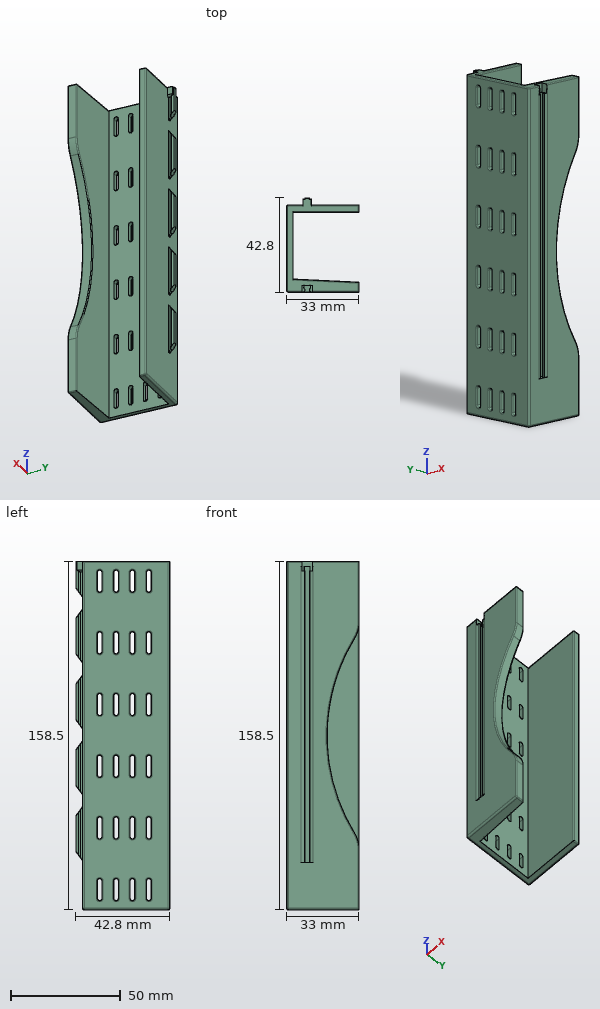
import cadquery as cq
import math

LENGTH = 158.5
WIDTH = 33.0
BODY_DEPTH = 39.8
TOTAL_DEPTH = 42.8
WEB_THICKNESS = 3.0
BACK_THICKNESS = 3.5
FRONT_ROOT_THICKNESS = 6.0
FRONT_TIP_THICKNESS = 4.6
CORNER_RADIUS = 1.0
TIP_RADIUS = 0.5
TOP_RADIUS = 0.5

SLOT_COLUMNS = 4
SLOT_ROWS = 6
SLOT_PITCH_Y = 7.5
SLOT_PITCH_Z = 28.0
SLOT_CENTER_Y = 20.8
SLOT_CENTER_Z = 79.4
SLOT_LENGTH = 10.0
SLOT_WIDTH = 2.0
SLOT_RIM_RADIUS = 0.5

CUTOUT_DEPTH = 14.5
CUTOUT_RADIUS = 84.6
CUTOUT_BLEND_RADIUS = 15.0
CUTOUT_CENTER_Z = LENGTH / 2

COUPLING_X = 9.3
RIB_HEIGHT = TOTAL_DEPTH - BODY_DEPTH
NECK_HALF_WIDTH = 0.6
NECK_HEIGHT = 0.8
HEAD_HALF_WIDTH = 1.3
HEAD_HEIGHT = 1.7
TIP_HALF_WIDTH = 1.0
CLEARANCE = 0.3
GROOVE_MOUTH_HALF_WIDTH = 2.7
GROOVE_LIP_HALF_WIDTH = 1.3
GROOVE_LIP_DEPTH = 0.3
GROOVE_END_Z = 21.7
GROOVE_TOP_Z = 156.0

BLOCK_HALF_WIDTH = 1.9
BLOCK_RISE = 2.5
BLOCK_HEIGHT = 4.8
SEAT_HALF_WIDTH = 2.4
SEAT_DEPTH = BLOCK_RISE + 2 * CLEARANCE
SEAT_HEIGHT = 4.3
BLOCK_CHAMFER = 1.0

SEGMENT_COUNT = 5
SEGMENT_PITCH = 30.0
FIRST_SEGMENT_END_Z = 142.3
GAP_AT_BASE = 5.5
GAP_SLOPE_RUN = 4.1


def make_channel():
    """Extruded C profile with a tapering front flange."""
    inner_back_y = BODY_DEPTH - BACK_THICKNESS
    profile = [
        (0, 0),
        (WIDTH, 0),
        (WIDTH, FRONT_TIP_THICKNESS),
        (WEB_THICKNESS, FRONT_ROOT_THICKNESS),
        (WEB_THICKNESS, inner_back_y),
        (WIDTH, inner_back_y),
        (WIDTH, BODY_DEPTH),
        (0, BODY_DEPTH),
    ]
    channel = cq.Workplane("XY").polyline(profile).close().extrude(LENGTH)
    channel = channel.edges("|Z and <X").fillet(CORNER_RADIUS)
    return channel.faces("<Z").edges("<X").fillet(CORNER_RADIUS)


def cut_slots(body):
    """Cut the slot grid through the web and round its outer rims."""
    grid = cq.Workplane("YZ", origin=(0, SLOT_CENTER_Y, SLOT_CENTER_Z)).rarray(
        SLOT_PITCH_Y, SLOT_PITCH_Z, SLOT_COLUMNS, SLOT_ROWS
    )
    slots = grid.slot2D(SLOT_LENGTH, SLOT_WIDTH, 90).extrude(WEB_THICKNESS)
    slotted = body.cut(slots)
    half_span_y = SLOT_PITCH_Y * (SLOT_COLUMNS - 1) / 2 + SLOT_WIDTH / 2
    half_span_z = SLOT_PITCH_Z * (SLOT_ROWS - 1) / 2 + SLOT_LENGTH / 2
    rims = cq.selectors.BoxSelector(
        (-SLOT_RIM_RADIUS, SLOT_CENTER_Y - half_span_y, SLOT_CENTER_Z - half_span_z),
        (SLOT_RIM_RADIUS, SLOT_CENTER_Y + half_span_y, SLOT_CENTER_Z + half_span_z),
    )
    return slotted.faces("<X").edges(rims).fillet(SLOT_RIM_RADIUS)


def cut_finger_recess(body):
    """Shallow arc in the front flange, blended into the flange tip at both ends."""
    arc_center_x = WIDTH - CUTOUT_DEPTH + CUTOUT_RADIUS
    blend_center_x = WIDTH - CUTOUT_BLEND_RADIUS
    center_distance = CUTOUT_RADIUS + CUTOUT_BLEND_RADIUS
    blend_angle = math.acos((arc_center_x - blend_center_x) / center_distance)
    blend_dz = center_distance * math.sin(blend_angle)
    joint_x = arc_center_x - CUTOUT_RADIUS * math.cos(blend_angle)
    joint_dz = CUTOUT_RADIUS * math.sin(blend_angle)
    mid_x = blend_center_x + CUTOUT_BLEND_RADIUS * math.cos(blend_angle / 2)
    mid_dz = blend_dz - CUTOUT_BLEND_RADIUS * math.sin(blend_angle / 2)
    recess = (
        cq.Workplane("XZ", origin=(0, 0, CUTOUT_CENTER_Z))
        .moveTo(WIDTH, -blend_dz)
        .threePointArc((mid_x, -mid_dz), (joint_x, -joint_dz))
        .threePointArc((WIDTH - CUTOUT_DEPTH, 0), (joint_x, joint_dz))
        .threePointArc((mid_x, mid_dz), (WIDTH, blend_dz))
        .close()
        .extrude(-FRONT_ROOT_THICKNESS)
    )
    return body.cut(recess)


def round_flange_tips(body):
    """Round both long rims of each flange tip, following the finger cutout."""
    return body.edges("|Z and >X").fillet(TIP_RADIUS)


def round_top_rim(body):
    """Round the top end along the outside, around the flange tips and into the channel."""
    return body.faces(">Z").edges("<X").fillet(TOP_RADIUS)


def coupling_outline(foot, offset, tip_offset):
    """Right half of the hexagonal-headed bar as (half width, height) points.

    foot lists the points between the face and the neck; the offsets grow the bar.
    """
    return foot + [
        (NECK_HALF_WIDTH + offset, NECK_HEIGHT + offset),
        (HEAD_HALF_WIDTH + offset, HEAD_HEIGHT + offset),
        (TIP_HALF_WIDTH + offset, RIB_HEIGHT + tip_offset),
    ]


def coupling_bar(outline, face_y, bottom_z, top_z):
    """Symmetric bar along Z whose cross section rises from the plane y = face_y."""
    mirrored = [(-half_width, height) for half_width, height in reversed(outline)]
    return (
        cq.Workplane("XY", origin=(COUPLING_X, face_y, bottom_z))
        .polyline(outline + mirrored)
        .close()
        .extrude(top_z - bottom_z)
    )


def end_block(half_width, rise, height, face_y):
    """Box at the top end, centred on the coupling and rising along +Y from face_y."""
    block = cq.Workplane("XY").box(2 * half_width, rise, height, centered=(True, False, False))
    return block.translate((COUPLING_X, face_y, LENGTH - height))


def make_rib():
    """Coupling rib on the back, divided into segments with sloped ends."""
    outline = coupling_outline([(NECK_HALF_WIDTH, 0)], 0, 0)
    rib = coupling_bar(outline, BODY_DEPTH, 0, LENGTH)
    for index in range(SEGMENT_COUNT):
        gap_top = FIRST_SEGMENT_END_Z - index * SEGMENT_PITCH
        is_last = index == SEGMENT_COUNT - 1
        gap_bottom = -GAP_SLOPE_RUN if is_last else gap_top - GAP_AT_BASE
        gap = (
            cq.Workplane("YZ", origin=(COUPLING_X, 0, 0))
            .moveTo(BODY_DEPTH, gap_bottom)
            .lineTo(BODY_DEPTH, gap_top)
            .lineTo(TOTAL_DEPTH, gap_top + GAP_SLOPE_RUN)
            .lineTo(TOTAL_DEPTH, gap_bottom - GAP_SLOPE_RUN)
            .close()
            .extrude(2 * HEAD_HALF_WIDTH, both=True)
        )
        rib = rib.cut(gap)
    root_y = BODY_DEPTH - BACK_THICKNESS / 2
    block = end_block(BLOCK_HALF_WIDTH, BODY_DEPTH + BLOCK_RISE - root_y, BLOCK_HEIGHT, root_y)
    block = block.faces("<Z").edges("<X or >X or >Y").chamfer(BLOCK_CHAMFER)
    return rib.union(block)


def make_groove():
    """Groove in the front: the bar with clearance, a bevelled mouth and the block seat."""
    mouth = [(GROOVE_MOUTH_HALF_WIDTH, 0), (GROOVE_LIP_HALF_WIDTH, GROOVE_LIP_DEPTH)]
    outline = coupling_outline(mouth, CLEARANCE, 2 * CLEARANCE)
    slot = coupling_bar(outline, 0, GROOVE_END_Z, GROOVE_TOP_Z)
    return slot.union(end_block(SEAT_HALF_WIDTH, SEAT_DEPTH, SEAT_HEIGHT, 0))


result = make_channel()
result = cut_slots(result)
result = cut_finger_recess(result)
result = round_flange_tips(result)
result = round_top_rim(result)
result = result.cut(make_groove()).union(make_rib())